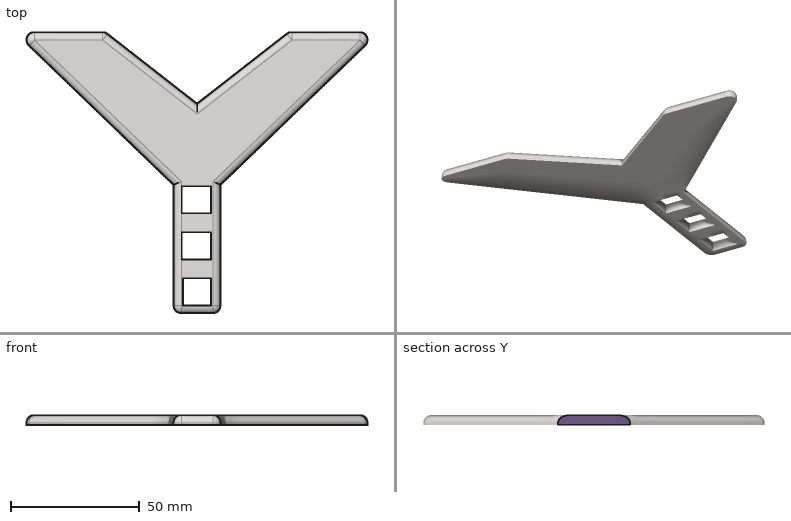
import cadquery as cq

span = 132.5
length = 109.2
thickness = 4.0
edge_radius = 3.0

tip_x = span / 2 - edge_radius
top_y = length - edge_radius
notch_x = 36.7
notch_y = 77.5
stem_half_width = 9.1 - edge_radius
stem_top_y = 51.2

window_height = 10.5
window_pitch = 17.9
window_right = 5.5
window_widths = [10.9, 11.3, 11.3]


def make_plate():
    right_side = [
        (stem_half_width, edge_radius),
        (stem_half_width, stem_top_y),
        (tip_x, top_y),
        (notch_x, top_y),
    ]
    left_side = [(-x, y) for x, y in reversed(right_side)]
    outline = right_side + [(0, notch_y)] + left_side
    plate = (
        cq.Workplane("XY")
        .polyline(outline)
        .close()
        .offset2D(edge_radius, "arc")
        .extrude(thickness)
    )
    return plate.faces(">Z").edges().fillet(edge_radius)


def cut_windows(plate):
    for index, width in enumerate(window_widths):
        bottom_y = edge_radius + index * window_pitch
        window = (
            cq.Workplane("XY")
            .box(width, window_height, thickness, centered=False)
            .translate((window_right - width, bottom_y, 0))
        )
        plate = plate.cut(window)
    return plate


result = cut_windows(make_plate()).translate((0, -length / 2, 0))